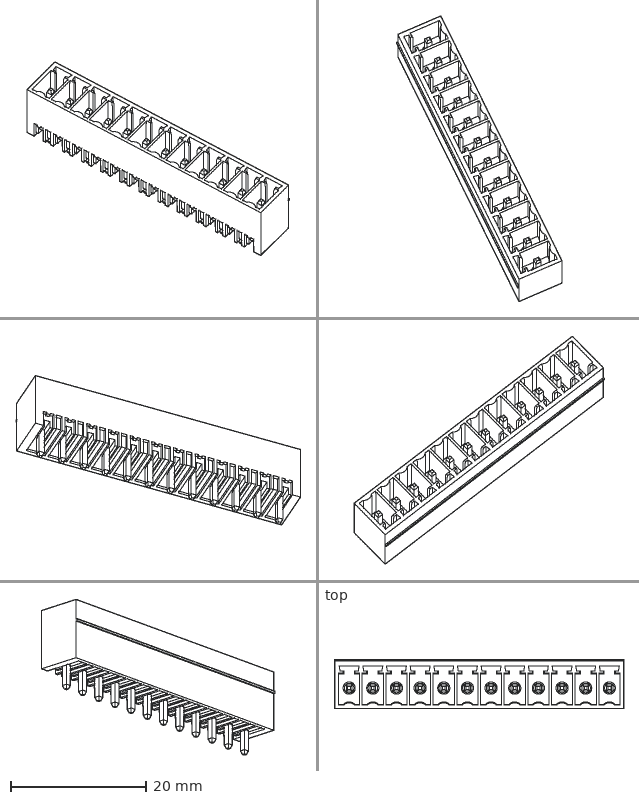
import cadquery as cq


length = 42.8
housing_depth = 7.0
housing_height = 9.2
ridge_height = 0.35
ridge_reach = 0.2
ridge_level = 5.95

contact_count = 12
pitch = 3.5
contact_y = 3.05
contact_xs = [(i - (contact_count - 1) / 2) * pitch for i in range(contact_count)]

cell_width = 3.12
front_wall = 0.65
rear_wall = 0.7
cell_floor = 3.0
slot_front_width = 2.7
slot_rear_width = 2.95
lead_in_flare = 0.13
lead_in_height = 0.5
key_rib_front = 5.15
key_rib_thickness = 0.43
key_gap = 1.55
bulge_width = 1.63
bulge_height = 0.35

pin_size = 0.85
pin_tail = 3.4
pin_top = 8.0
pin_tip_size = 0.43
pin_tip_length = 0.55
collar_diameter = 1.8
collar_top_diameter = 1.4
collar_height = 0.2

opening_height = 2.7
opening_depth = 0.5
opening_width = 1.65
tab_top_width = 0.65
tab_bottom_width = 0.5
tab_drop = 0.25
pin_slot_height = 1.55
relief_width = 0.9
relief_offset = 1.7
opening_standoff = 0.4
relief_standoff = 0.5


def block(x_centre, width, y_start, y_end, z_start, z_end):
    """Axis-aligned block centred on x_centre."""
    return (
        cq.Workplane("XY")
        .box(width, y_end - y_start, z_end - z_start, centered=(True, False, False))
        .translate((x_centre, y_start, z_start))
    )


def make_housing():
    """Plain block with a square ridge along its rear face."""
    body = block(0, length, 0, housing_depth, 0, housing_height)
    ridge = block(
        0,
        length,
        housing_depth,
        housing_depth + ridge_reach,
        ridge_level - ridge_height / 2,
        ridge_level + ridge_height / 2,
    )
    return body.union(ridge)


def cell_profile(level, flare):
    """Cell outline at a given level, widened by flare at the front wall and around the key ribs."""
    front = front_wall - flare
    rib_front = key_rib_front + flare
    rib_rear = key_rib_front + key_rib_thickness
    slot_end = housing_depth - rear_wall
    half_cell = cell_width / 2
    half_gap = key_gap / 2 + flare
    half_slot_front = slot_front_width / 2
    half_slot_rear = slot_rear_width / 2
    half_bulge = bulge_width / 2
    return (
        cq.Workplane("XY", origin=(0, 0, level))
        .moveTo(-half_cell, front)
        .lineTo(-half_bulge, front)
        .threePointArc((0, front + bulge_height), (half_bulge, front))
        .lineTo(half_cell, front)
        .lineTo(half_cell, rib_front)
        .lineTo(half_gap, rib_front)
        .lineTo(half_gap, rib_rear)
        .lineTo(half_slot_front, rib_rear)
        .lineTo(half_slot_rear, slot_end)
        .lineTo(-half_slot_rear, slot_end)
        .lineTo(-half_slot_front, rib_rear)
        .lineTo(-half_gap, rib_rear)
        .lineTo(-half_gap, rib_front)
        .lineTo(-half_cell, rib_front)
        .close()
    )


def cell_cutter():
    """Cell void with a flared lead-in at its mouth."""
    shaft = cell_profile(cell_floor, 0).extrude(housing_height - cell_floor)
    mouth = cq.Solid.makeLoft(
        [
            cell_profile(housing_height - lead_in_height, 0).wire().val(),
            cell_profile(housing_height, lead_in_flare).wire().val(),
        ],
        True,
    )
    return shaft.union(cq.Workplane(mouth))


def opening_cutter():
    """Front notch with a hanging tab, a slot to the pin, and the underside channel."""
    half_width = opening_width / 2
    notch = (
        cq.Workplane("XZ")
        .moveTo(-half_width, 0)
        .lineTo(-half_width, opening_height)
        .lineTo(-tab_top_width / 2, opening_height)
        .lineTo(-tab_bottom_width / 2, opening_height - tab_drop)
        .lineTo(tab_bottom_width / 2, opening_height - tab_drop)
        .lineTo(tab_top_width / 2, opening_height)
        .lineTo(half_width, opening_height)
        .lineTo(half_width, 0)
        .close()
        .extrude(-opening_depth)
    )
    pin_slot = block(0, pin_size, 0, contact_y, 0, pin_slot_height)
    channel = block(0, opening_width, 0, housing_depth - rear_wall, 0, opening_standoff)
    return notch.union(pin_slot).union(channel)


def relief_cutter():
    """Narrow notch between two contacts, with its underside channel."""
    notch = block(0, relief_width, 0, opening_depth, 0, opening_height)
    channel = block(0, relief_width, 0, housing_depth - rear_wall, 0, relief_standoff)
    return notch.union(channel)


def make_contact():
    """Square pin tapered at both ends, rising through a conical collar."""
    contact = block(
        0,
        pin_size,
        contact_y - pin_size / 2,
        contact_y + pin_size / 2,
        pin_tip_length - pin_tail,
        pin_top - pin_tip_length,
    )
    for end_face in ("<Z", ">Z"):
        tip = (
            contact.faces(end_face)
            .workplane(centerOption="CenterOfMass")
            .rect(pin_size, pin_size)
            .workplane(offset=pin_tip_length)
            .rect(pin_tip_size, pin_tip_size)
            .loft(combine=False)
        )
        contact = contact.union(tip)
    collar = (
        cq.Workplane("XY", origin=(0, contact_y, cell_floor))
        .circle(collar_diameter / 2)
        .workplane(offset=collar_height)
        .circle(collar_top_diameter / 2)
        .loft()
    )
    return contact.union(collar)


result = make_housing()
for x in contact_xs:
    result = result.cut(cell_cutter().translate((x, 0, 0)))
    result = result.cut(opening_cutter().translate((x, 0, 0)))
for x in contact_xs[:-1]:
    result = result.cut(relief_cutter().translate((x + relief_offset, 0, 0)))
for x in contact_xs:
    result = result.union(make_contact().translate((x, 0, 0)))